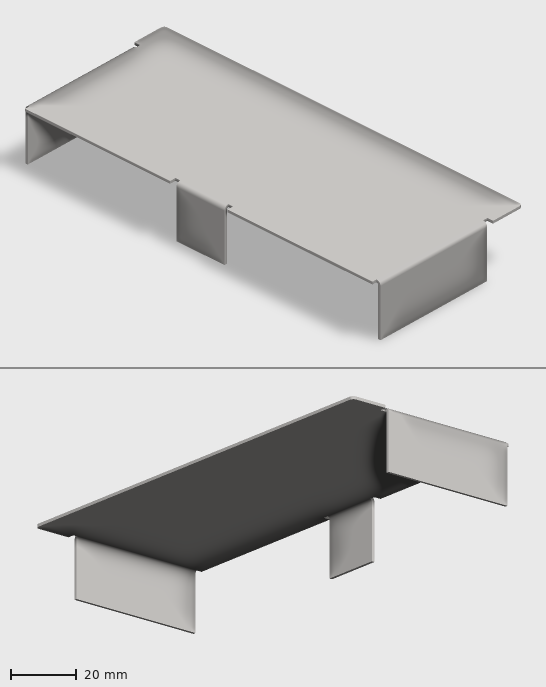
import cadquery as cq

length = 150.0
depth = 63.8
height = 21.0
thickness = 1.0

bend_outer_radius = 1.6
bend_inner_radius = bend_outer_radius - thickness

rear_strip_depth = 13.0
rear_corner_radius = 1.4
flange_overhang = 0.8
body_width = length - 2 * (flange_overhang + bend_outer_radius)

side_flange_front = 1.8
side_flange_rear = depth - 14.8

tab_width = 20.1
notch_width = 24.0
tab_setback = 0.8
notch_depth = tab_setback + bend_outer_radius


def make_plate():
    """Flat top plate with the notch in its front edge."""
    rear_strip = (
        cq.Workplane("XY")
        .box(length, rear_strip_depth, thickness, centered=(True, False, False))
        .edges("|Z and >Y")
        .fillet(rear_corner_radius)
        .translate((0, depth - rear_strip_depth, -thickness))
    )
    body = (
        cq.Workplane("XY")
        .box(body_width, depth - rear_corner_radius, thickness, centered=(True, False, False))
        .translate((0, 0, -thickness))
    )
    notch = (
        cq.Workplane("XY")
        .box(notch_width, notch_depth, thickness, centered=(True, False, False))
        .translate((0, 0, -thickness))
    )
    return rear_strip.union(body).cut(notch)


def make_bent_flange(width):
    """Flange running along +Y from the origin, bent from the plate toward +X and down."""
    outer = bend_outer_radius
    inner = bend_inner_radius
    return (
        cq.Workplane("XZ")
        .moveTo(0, 0)
        .radiusArc((outer, -outer), outer)
        .lineTo(outer, -height)
        .lineTo(inner, -height)
        .lineTo(inner, -outer)
        .radiusArc((0, -thickness), -inner)
        .close()
        .extrude(-width)
    )


right_flange = make_bent_flange(side_flange_rear - side_flange_front).translate(
    (body_width / 2, side_flange_front, 0)
)
left_flange = right_flange.mirror("YZ")
front_tab = (
    make_bent_flange(tab_width)
    .rotate((0, 0, 0), (0, 0, 1), -90)
    .translate((-tab_width / 2, notch_depth, 0))
)

result = make_plate().union(right_flange).union(left_flange).union(front_tab)